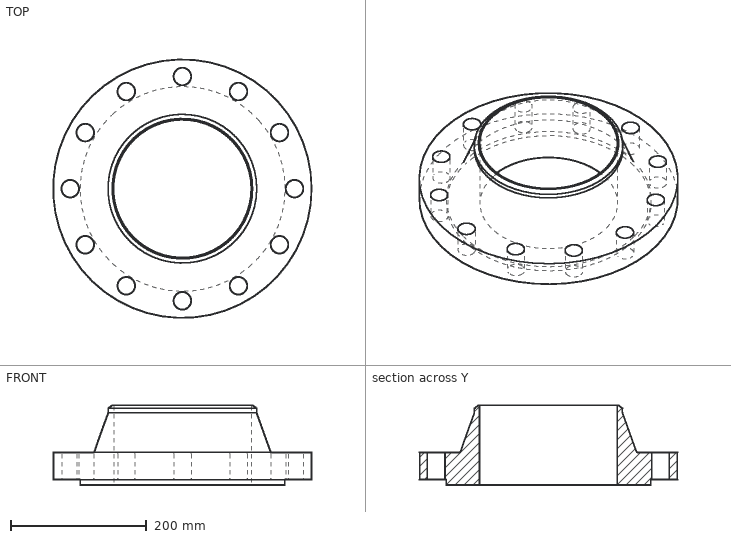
import cadquery as cq

flange_diameter = 381.0
flange_thickness = 40.5

face_diameter = 301.5
face_height = 8.0

hub_base_diameter = 260.5
hub_fillet = 2.3
neck_diameter = 219.0
neck_length = 11.5
bevel_height = 4.5
bevel_width = 6.0
bore_diameter = 202.5
total_height = 117.7

bolt_count = 12
bolt_circle_diameter = 330.2
bolt_hole_diameter = 25.5

plate_top = face_height + flange_thickness
hub_top = total_height - neck_length
bevel_start = total_height - bevel_height


def flange_plate():
    """Round plate with the raised sealing face below it."""
    sealing_face = cq.Workplane("XY").circle(face_diameter / 2).extrude(face_height)
    plate = (
        cq.Workplane("XY")
        .workplane(offset=face_height)
        .circle(flange_diameter / 2)
        .extrude(flange_thickness)
    )
    return sealing_face.union(plate)


def hub():
    """Tapered hub and bevelled neck, turned about the Z axis from half its section."""
    return (
        cq.Workplane("XZ")
        .moveTo(0, plate_top)
        .lineTo(hub_base_diameter / 2, plate_top)
        .lineTo(neck_diameter / 2, hub_top)
        .lineTo(neck_diameter / 2, bevel_start)
        .lineTo(neck_diameter / 2 - bevel_width, total_height)
        .lineTo(0, total_height)
        .close()
        .revolve(360, (0, 0, 0), (0, 1, 0))
    )


def bore():
    """Straight bore through the whole height."""
    return cq.Workplane("XY").circle(bore_diameter / 2).extrude(total_height)


def bolt_holes():
    """Ring of through holes, the first one on the +X axis."""
    return (
        cq.Workplane("XY")
        .polarArray(bolt_circle_diameter / 2, 0, 360, bolt_count)
        .circle(bolt_hole_diameter / 2)
        .extrude(plate_top)
    )


body = flange_plate().union(hub())

plate_top_face = body.faces("%PLANE and >Z[-2]")
hub_root = plate_top_face.edges(cq.selectors.RadiusNthSelector(0))
body = hub_root.fillet(hub_fillet)

result = body.cut(bore()).cut(bolt_holes())